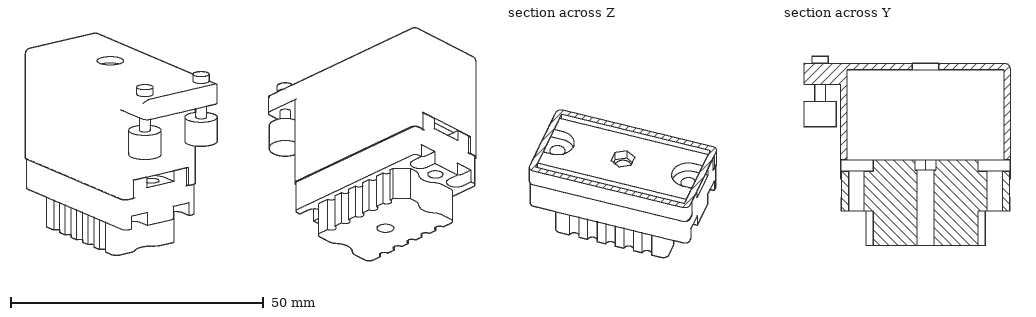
import cadquery as cq
import math

COVER_LENGTH = 33.65
COVER_WIDTH = 18.15
COVER_BOTTOM = 13.2
COVER_TOP = 36.1
COVER_ROUND = 1.2
COVER_WALL = 1.3
FLANGE_END = 40.85
FLANGE_BOTTOM = 31.85
ACCESS_HOLE_DIAMETER = 5.25
NOTCH_WIDTH = 13.55

SCREW_Y = 6.9
HEAD_DIAMETER = 3.25
HEAD_TOP = 37.5
SHANK_DIAMETER = 2.15
KNOB_DIAMETER = 6.4
KNOB_TOP = 28.53
KNOB_BOTTOM = 23.5
SCREW_X = FLANGE_END - KNOB_DIAMETER / 2

BASE_LENGTH = 33.35
BASE_WIDTH = 17.55
BASE_BOTTOM = 6.85
BASE_ROUND = 1.0
INSERT_WIDTH = 13.25
INSERT_TOP = 17.0
INSERT_ROUND = 0.35
BOLT_DIAMETER = 3.3
NUT_ACROSS_FLATS = 4.13
NUT_DEPTH = 2.05

END_HOLE_INSET = 3.0
END_HOLE_DIAMETER = 3.0
END_SLOT_WIDTH = 6.62
END_SLOT_FLOOR = 14.75
FOOT_SLOT_INSET = 2.2
FOOT_SLOT_WIDTH = 3.85
FOOT_SLOT_Y = 5.15
FOOT_SLOT_TOP = 9.55

PLUG_LENGTH = 23.62
PLUG_WIDTH = 15.12
PLUG_ROUND = 1.2
KEY_CHAMFER = 2.45
CHANNEL_LIP_ROUND = 2.5
GROOVE_COUNT = 5
GROOVE_PITCH = 3.8
GROOVE_RADIUS = 1.0

CENTER_X = COVER_LENGTH / 2
END_SIDES = (-1, 1)
WIDE_SIDES = (-1, 1)


def block(length, width, bottom, top, center_x=CENTER_X):
    """Upright box centred on the XZ plane."""
    return (
        cq.Workplane("XY", origin=(center_x, 0, bottom))
        .rect(length, width)
        .extrude(top - bottom)
    )


def cylinder(diameter, bottom, top, x, y=0.0):
    """Upright cylinder."""
    return cq.Workplane("XY", origin=(x, y, bottom)).circle(diameter / 2).extrude(top - bottom)


def end_pocket(side, inset, width, y, bottom, top):
    """Cutter for a pocket open to one end of the base and round at its inner end."""
    round_x = CENTER_X + side * (BASE_LENGTH / 2 - inset)
    channel = block(2 * inset, width, bottom, top, round_x + side * inset)
    return channel.translate((0, y, 0)).union(cylinder(width, bottom, top, round_x, y))


def make_thumbscrew(y):
    """Head, shank and knob of one flange screw."""
    head = cylinder(HEAD_DIAMETER, COVER_TOP, HEAD_TOP, SCREW_X, y)
    shank = cylinder(SHANK_DIAMETER, KNOB_TOP, COVER_TOP, SCREW_X, y)
    knob = cylinder(KNOB_DIAMETER, KNOB_BOTTOM, KNOB_TOP, SCREW_X, y)
    return shank.union(head).union(knob)


def make_cover():
    """Rounded hood, hollow from below, with a flange carrying two thumbscrews."""
    cover = (
        cq.Workplane("XZ")
        .moveTo(0, COVER_BOTTOM)
        .lineTo(COVER_LENGTH, COVER_BOTTOM)
        .lineTo(COVER_LENGTH, FLANGE_BOTTOM)
        .lineTo(FLANGE_END, FLANGE_BOTTOM)
        .lineTo(FLANGE_END, COVER_TOP)
        .lineTo(0, COVER_TOP)
        .close()
        .extrude(COVER_WIDTH / 2, both=True)
    )
    margin = COVER_ROUND / 2
    flange_top_edge = cq.selectors.BoxSelector(
        (FLANGE_END - margin, -margin, COVER_TOP - margin),
        (FLANGE_END + margin, margin, COVER_TOP + margin),
    )
    rounded_edges = cq.selectors.SubtractSelector(
        cq.selectors.StringSyntaxSelector("|Z or >Z"), flange_top_edge
    )
    cover = cover.edges(rounded_edges).fillet(COVER_ROUND)

    cavity = block(
        COVER_LENGTH - 2 * COVER_WALL,
        COVER_WIDTH - 2 * COVER_WALL,
        COVER_BOTTOM,
        COVER_TOP - COVER_WALL,
    )
    notches = block(COVER_LENGTH, NOTCH_WIDTH, COVER_BOTTOM, INSERT_TOP)
    access_hole = cylinder(ACCESS_HOLE_DIAMETER, COVER_BOTTOM, COVER_TOP, CENTER_X)
    cover = cover.cut(cavity).cut(notches).cut(access_hole)
    for side in WIDE_SIDES:
        cover = cover.union(make_thumbscrew(side * SCREW_Y))
    return cover


def cut_end_channel(plug, side):
    """Hollow one end of the plug around the end hole, with rounded lips."""
    radius = END_SLOT_WIDTH / 2
    lip = CHANNEL_LIP_ROUND
    hole_x = CENTER_X + side * (BASE_LENGTH / 2 - END_HOLE_INSET)
    face_x = CENTER_X + side * PLUG_LENGTH / 2
    lip_x = face_x - side * lip
    reach = abs(hole_x - lip_x)
    lip_y = math.sqrt((radius + lip) ** 2 - reach**2)
    share = radius / (radius + lip)
    tangent_x = hole_x + (lip_x - hole_x) * share
    tangent_y = lip_y * share
    middle_angle = math.atan2(lip_y, reach) / 2
    lip_mid_x = lip_x + side * lip * math.cos(middle_angle)
    lip_mid_y = lip_y - lip * math.sin(middle_angle)
    cutter = (
        cq.Workplane("XY")
        .moveTo(face_x, lip_y)
        .threePointArc((lip_mid_x, lip_mid_y), (tangent_x, tangent_y))
        .threePointArc((hole_x - side * radius, 0), (tangent_x, -tangent_y))
        .threePointArc((lip_mid_x, -lip_mid_y), (face_x, -lip_y))
        .close()
        .extrude(BASE_BOTTOM)
    )
    return plug.cut(cutter)


def make_plug():
    """Keyed plug with a channel in each end and grooves along its long sides."""
    plug = block(PLUG_LENGTH, PLUG_WIDTH, 0, BASE_BOTTOM)
    plug = plug.edges("|Z and <X and >Y").chamfer(KEY_CHAMFER)
    plug = plug.edges("|Z and (<Y or >X)").fillet(PLUG_ROUND)
    for side in END_SIDES:
        plug = cut_end_channel(plug, side)
    for index in range(GROOVE_COUNT):
        groove_x = CENTER_X + (index - (GROOVE_COUNT - 1) / 2) * GROOVE_PITCH
        for side in WIDE_SIDES:
            plug = plug.cut(
                cylinder(2 * GROOVE_RADIUS, 0, BASE_BOTTOM, groove_x, side * PLUG_WIDTH / 2)
            )
    return plug


def make_base():
    """Base block with insert, plug, end pockets, bolt hole and nut recess."""
    lower = block(BASE_LENGTH, BASE_WIDTH, BASE_BOTTOM, COVER_BOTTOM)
    insert = block(BASE_LENGTH, INSERT_WIDTH, COVER_BOTTOM, INSERT_TOP)
    base = lower.edges("|Z").fillet(BASE_ROUND)
    base = base.union(insert.edges("|Z").fillet(INSERT_ROUND))
    for side in END_SIDES:
        hole_x = CENTER_X + side * (BASE_LENGTH / 2 - END_HOLE_INSET)
        base = base.cut(
            end_pocket(side, END_HOLE_INSET, END_SLOT_WIDTH, 0, END_SLOT_FLOOR, INSERT_TOP)
        )
        base = base.cut(cylinder(END_HOLE_DIAMETER, BASE_BOTTOM, END_SLOT_FLOOR, hole_x))
        for foot_side in WIDE_SIDES:
            foot_y = foot_side * FOOT_SLOT_Y
            base = base.cut(
                end_pocket(side, FOOT_SLOT_INSET, FOOT_SLOT_WIDTH, foot_y, BASE_BOTTOM, FOOT_SLOT_TOP)
            )
    base = base.union(make_plug())
    nut_recess = (
        cq.Workplane("XY", origin=(CENTER_X, 0, INSERT_TOP - NUT_DEPTH))
        .polygon(6, NUT_ACROSS_FLATS, circumscribed=True)
        .extrude(NUT_DEPTH)
    )
    return base.cut(nut_recess).cut(cylinder(BOLT_DIAMETER, 0, INSERT_TOP, CENTER_X))


cover = make_cover()
base = make_base()
result = cq.Compound.makeCompound([cover.solids().val(), base.solids().val()])